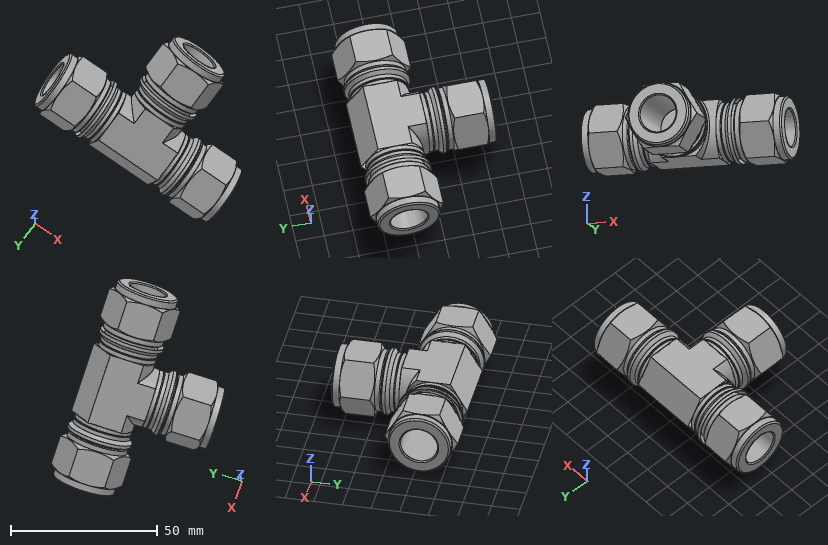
import cadquery as cq
import math

branch_reach = 36.1

half_side_angle = math.radians(30)

body_across_flats = 20.65
body_end = 12.5

stub_diameter = 20.5
relief_diameter = 20.1
relief_inner = 14.0
relief_width = 0.4
collar_diameter = 23.0
collar_cone_start = 15.8
collar_outer = 18.3
collar_lip_width = 0.15
neck_diameter = 18.9

nut_ring_diameter = 21.5
nut_ring_start = 18.9
nut_ring_chamfer = 0.35
nut_across_flats = 22.25
nut_hex_start = 20.95
nut_hex_end = 33.2
nut_corner_angle = math.radians(30)
nose_diameter = 21.8
nose_face_diameter = 20.6
nose_chamfer_length = 0.5

bore_diameter = 12.9
bore_mouth_diameter = 13.8
bore_floor = body_end


def hex_bar(across_flats, start, end):
    """Hexagonal bar along +X with two of its flats facing up and down."""
    corner_diameter = across_flats / math.cos(half_side_angle)
    return cq.Workplane("YZ").workplane(offset=start).polygon(6, corner_diameter).extrude(end - start)


def revolved(profile):
    """Turn (distance along X, radius) points into a solid around the X axis."""
    return cq.Workplane("XY").polyline(profile).close().revolve(360, (0, 0), (1, 0))


def place_branches(branch):
    """Copy a +X branch to the +X, -Y and -X directions."""
    return [branch.rotate((0, 0, 0), (0, 0, 1), -turn) for turn in (0, 90, 180)]


def body_bar(start, end, hexagonal_back):
    """Body bar along +X, flat above and below, its front side bulged out to the stub radius.

    The back side is either the sharp corner of the hexagon or a mirror of the front.
    """
    flat_height = body_across_flats / 2
    flat_half_width = flat_height * math.tan(half_side_angle)
    front_reach = stub_diameter / 2
    back_reach = 2 * flat_half_width
    outline = (
        cq.Workplane("YZ")
        .workplane(offset=start)
        .moveTo(flat_half_width, flat_height)
        .lineTo(-flat_half_width, flat_height)
        .threePointArc((-front_reach, 0), (-flat_half_width, -flat_height))
        .lineTo(flat_half_width, -flat_height)
    )
    if hexagonal_back:
        outline = outline.lineTo(back_reach, 0).close()
    else:
        outline = outline.threePointArc((front_reach, 0), (flat_half_width, flat_height)).close()
    return outline.extrude(end - start)


def make_body():
    """Run bar with a sharp hexagonal back, and a side arm rounded on both sides."""
    run = body_bar(-body_end, body_end, hexagonal_back=True)
    arm = body_bar(0, body_end, hexagonal_back=False).rotate((0, 0, 0), (0, 0, 1), -90)
    return run.union(arm)


def make_stub():
    """Turned stub with relief groove, flared collar and a neck entering the nut.

    The collar rises in a 45-degree cone.
    Its outer face is a 45-degree dish sinking from a thin lip to the neck.
    """
    stub_radius = stub_diameter / 2
    relief_radius = relief_diameter / 2
    relief_outer = relief_inner + relief_width
    collar_radius = collar_diameter / 2
    collar_inner = collar_cone_start + collar_radius - stub_radius
    neck_radius = neck_diameter / 2
    lip_radius = collar_radius - collar_lip_width
    dish_depth = lip_radius - neck_radius
    return revolved([
        (0, 0),
        (0, neck_radius),
        (body_end, neck_radius),
        (body_end, stub_radius),
        (relief_inner, stub_radius),
        (relief_inner, relief_radius),
        (relief_outer, relief_radius),
        (relief_outer, stub_radius),
        (collar_cone_start, stub_radius),
        (collar_inner, collar_radius),
        (collar_outer, collar_radius),
        (collar_outer, lip_radius),
        (collar_outer - dish_depth, neck_radius),
        (nut_hex_start, neck_radius),
        (nut_hex_start, 0),
    ])


def make_nut():
    """Hexagonal nut with coned corners, a plain ring behind and a round nose in front."""
    ring_radius = nut_ring_diameter / 2
    nose_radius = nose_diameter / 2
    flat_radius = nut_across_flats / 2
    corner_radius = flat_radius / math.cos(half_side_angle)
    cone_slope = math.tan(nut_corner_angle)
    back_cone_length = (corner_radius - ring_radius) * cone_slope
    front_cone_length = (corner_radius - flat_radius) * cone_slope
    corner_cones = revolved([
        (nut_hex_start, 0),
        (nut_hex_start, ring_radius),
        (nut_hex_start + back_cone_length, corner_radius),
        (nut_hex_end - front_cone_length, corner_radius),
        (nut_hex_end, flat_radius),
        (nut_hex_end, 0),
    ])
    hexagon = hex_bar(nut_across_flats, nut_hex_start, nut_hex_end).intersect(corner_cones)
    round_core = revolved([
        (nut_ring_start, 0),
        (nut_ring_start, ring_radius - nut_ring_chamfer),
        (nut_ring_start + nut_ring_chamfer, ring_radius),
        (nut_hex_end, ring_radius),
        (nut_hex_end, nose_radius),
        (branch_reach - nose_chamfer_length, nose_radius),
        (branch_reach, nose_face_diameter / 2),
        (branch_reach, 0),
    ])
    return round_core.union(hexagon)


def make_bore():
    """Flat-floored tube socket with a 45-degree countersunk mouth."""
    bore_radius = bore_diameter / 2
    mouth_radius = bore_mouth_diameter / 2
    mouth_depth = mouth_radius - bore_radius
    return revolved([
        (bore_floor, 0),
        (bore_floor, bore_radius),
        (branch_reach - mouth_depth, bore_radius),
        (branch_reach, mouth_radius),
        (branch_reach, 0),
    ])


result = make_body()
for branch_end in place_branches(make_stub().union(make_nut())):
    result = result.union(branch_end)
for socket in place_branches(make_bore()):
    result = result.cut(socket)